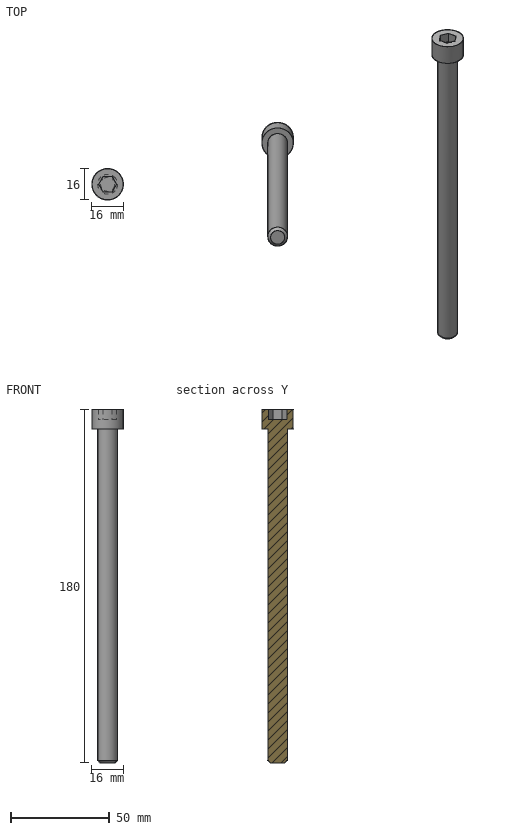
import cadquery as cq
import math

total_length = 180.0
head_diameter = 16.0
head_height = 10.0
shank_diameter = 10.0
tip_chamfer_height = 1.5
tip_chamfer_width = 1.5
socket_across_flats = 8.0
socket_depth = 5.0

tip_level = head_height - total_length


def make_body():
    """Revolve the head, chamfered plain shank about Z."""
    head_radius = head_diameter / 2
    shank_radius = shank_diameter / 2
    half_profile = [
        (0, tip_level),
        (shank_radius - tip_chamfer_width, tip_level),
        (shank_radius, tip_level + tip_chamfer_height),
        (shank_radius, 0),
        (head_radius, 0),
        (head_radius, head_height),
        (0, head_height),
    ]
    return cq.Workplane("XZ").polyline(half_profile).close().revolve(360, (0, 0), (0, 1))


def make_socket():
    """Hexagonal socket with two corners on the X axis."""
    across_corners = socket_across_flats / math.cos(math.pi / 6)
    return (
        cq.Workplane("XY", origin=(0, 0, head_height))
        .polygon(6, across_corners)
        .extrude(-socket_depth)
    )


result = make_body().cut(make_socket())